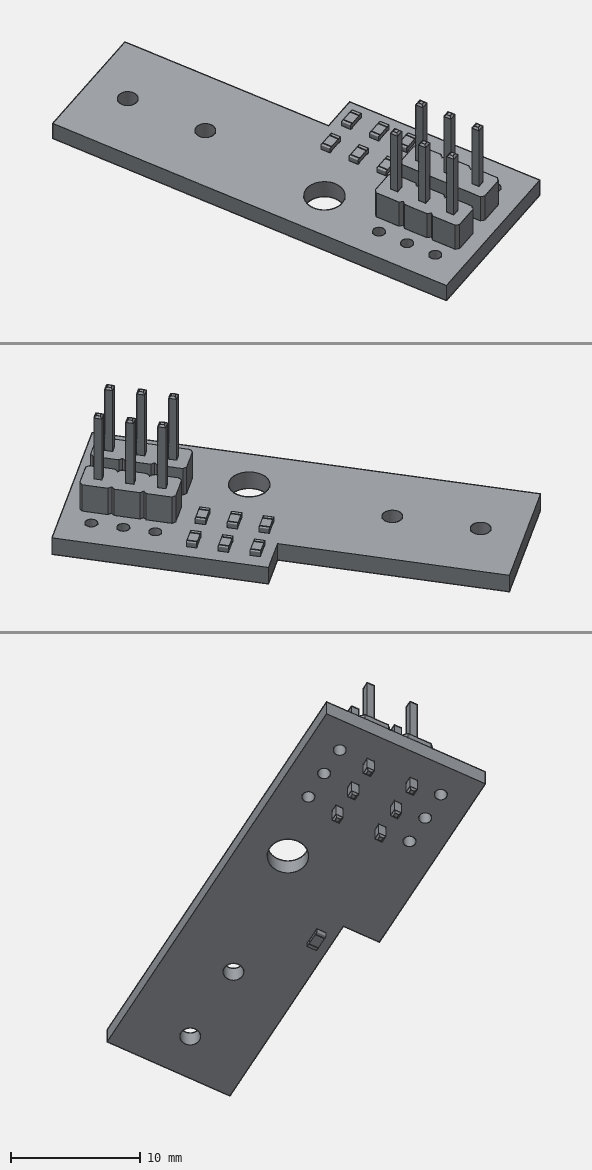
import cadquery as cq

BOARD_LENGTH = 35.55
BOARD_WIDTH = 13.98
BOARD_THICKNESS = 1.6
STEP_X = 18.4
TONGUE_WIDTH = 10.8

MOUNTING_GAP = 0.043

WIRE_HOLE_DIAMETER = 1.0
TONGUE_HOLE_DIAMETER = 1.6
MOUNTING_HOLE_DIAMETER = 3.2
TONGUE_HOLES_X = (3.52, 10.53)
TONGUE_HOLE_Y = TONGUE_WIDTH / 2
MOUNTING_HOLE_X = 22.22
MOUNTING_HOLE_Y = 3.85

HEADER_LENGTH = 7.6
PINS_PER_HEADER = 3
PITCH = HEADER_LENGTH / PINS_PER_HEADER
HEADER_X = 30.47
HEADER_SPACING = 3.77
WIRE_HOLE_ROW_SPACING = 8.9
HOUSING_HEIGHT = PITCH
HOUSING_CHAMFER = 0.25
PIN_SIDE = 0.65
PIN_LENGTH = 11.55
PIN_BELOW_BOARD = 1.35
PIN_TIP_CHAMFER = PIN_SIDE / 4

CHIP_LENGTH = 1.6
CHIP_WIDTH = 0.82
CHIP_HEIGHT = 0.45
CAP_LENGTH = 0.3
CAP_FILLET = 0.055
BODY_LIFT = 0.055
CHIP_COLUMN_PITCH = 2.52
CHIP_ROWS_Y = (8.95, 12.05)
BOTTOM_CHIP_X = 16.45
BOTTOM_CHIP_Y = 9.5

MIDDLE_Y = BOARD_WIDTH / 2
HEADER_ROWS_Y = (MIDDLE_Y - HEADER_SPACING / 2, MIDDLE_Y + HEADER_SPACING / 2)
WIRE_HOLE_ROWS_Y = (MIDDLE_Y - WIRE_HOLE_ROW_SPACING / 2, MIDDLE_Y + WIRE_HOLE_ROW_SPACING / 2)
PIN_OFFSETS_X = [(i - (PINS_PER_HEADER - 1) / 2) * PITCH for i in range(PINS_PER_HEADER)]
PINS_X = [HEADER_X + offset for offset in PIN_OFFSETS_X]


def through_holes(points, diameter):
    """Cylinders that cut round holes through the board."""
    return cq.Workplane("XY").pushPoints(points).circle(diameter / 2).extrude(BOARD_THICKNESS)


def make_board():
    """Stepped plate with its round holes and the square holes that hold the pins."""
    plate = (
        cq.Workplane("XY")
        .polyline([
            (0, 0),
            (BOARD_LENGTH, 0),
            (BOARD_LENGTH, BOARD_WIDTH),
            (STEP_X, BOARD_WIDTH),
            (STEP_X, TONGUE_WIDTH),
            (0, TONGUE_WIDTH),
        ])
        .close()
        .extrude(BOARD_THICKNESS)
    )
    tongue_holes = [(x, TONGUE_HOLE_Y) for x in TONGUE_HOLES_X]
    wire_holes = [(x, y) for x in PINS_X for y in WIRE_HOLE_ROWS_Y]
    pin_places = [(x, y) for x in PINS_X for y in HEADER_ROWS_Y]
    pin_holes = cq.Workplane("XY").pushPoints(pin_places).rect(PIN_SIDE, PIN_SIDE).extrude(BOARD_THICKNESS)
    return (
        plate
        .cut(through_holes(tongue_holes, TONGUE_HOLE_DIAMETER))
        .cut(through_holes([(MOUNTING_HOLE_X, MOUNTING_HOLE_Y)], MOUNTING_HOLE_DIAMETER))
        .cut(through_holes(wire_holes, WIRE_HOLE_DIAMETER))
        .cut(pin_holes)
    )


def make_header(center_y):
    """One header: a row of chamfered housing cells, each with its pin, as one solid."""
    cell = (
        cq.Workplane("XY")
        .box(PITCH, PITCH, HOUSING_HEIGHT, centered=(True, True, False))
        .edges("|Z")
        .chamfer(HOUSING_CHAMFER)
        .translate((0, 0, BOARD_THICKNESS + MOUNTING_GAP))
    )
    pin = (
        cq.Workplane("XY")
        .box(PIN_SIDE, PIN_SIDE, PIN_LENGTH, centered=(True, True, False))
        .faces("<Z or >Z")
        .chamfer(PIN_TIP_CHAMFER)
        .translate((0, 0, -PIN_BELOW_BOARD))
    )
    cell_with_pin = cell.union(pin)
    header = cq.Workplane("XY")
    for x in PINS_X:
        header = header.union(cell_with_pin.translate((x, center_y, 0)))
    return header


def make_chip():
    """Chip that stands on z = 0 with its length along Y; its body is raised a little between the caps."""
    chip = (
        cq.Workplane("XY")
        .box(CHIP_WIDTH, CHIP_LENGTH - 2 * CAP_LENGTH, CHIP_HEIGHT - BODY_LIFT, centered=(True, True, False))
        .translate((0, 0, BODY_LIFT))
    )
    cap = (
        cq.Workplane("XY")
        .box(CHIP_WIDTH, CAP_LENGTH, CHIP_HEIGHT, centered=(True, True, False))
        .edges("|X")
        .fillet(CAP_FILLET)
    )
    cap_offset = (CHIP_LENGTH - CAP_LENGTH) / 2
    for side in (-1, 1):
        chip = chip.union(cap.translate((0, side * cap_offset, 0)))
    return chip


board = make_board()
headers = [make_header(y) for y in HEADER_ROWS_Y]

top_chips = []
for column in (-1, 0, 1):
    for row_y in CHIP_ROWS_Y:
        chip_x = MOUNTING_HOLE_X + column * CHIP_COLUMN_PITCH
        top_chips.append(make_chip().translate((chip_x, row_y, BOARD_THICKNESS + MOUNTING_GAP)))

bottom_chip = (
    make_chip()
    .rotate((0, 0, 0), (0, 0, 1), 90)
    .rotate((0, 0, 0), (1, 0, 0), 180)
    .translate((BOTTOM_CHIP_X, BOTTOM_CHIP_Y, -MOUNTING_GAP))
)

result = cq.Compound.makeCompound([
    board.val(),
    *[header.val() for header in headers],
    *[chip.val() for chip in top_chips],
    bottom_chip.val(),
])